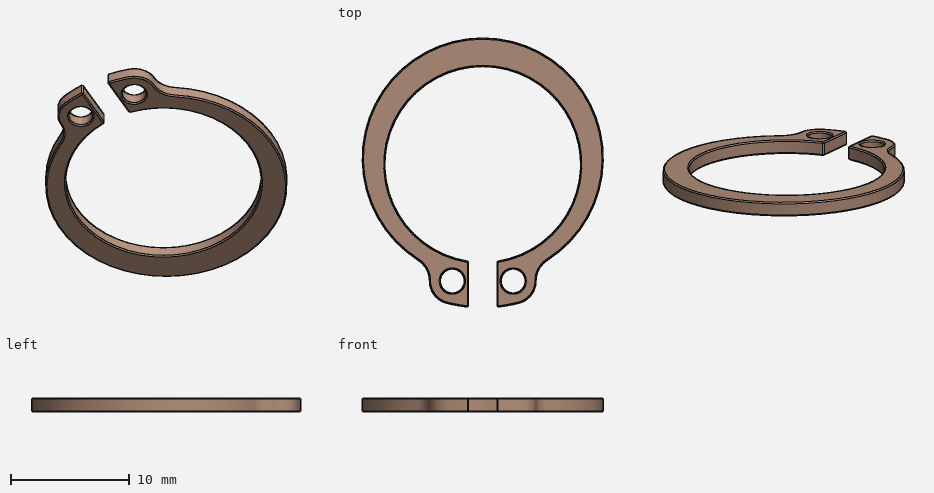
import cadquery as cq
import math

thickness = 1.2
bore_radius = 8.25
outer_radius = 10.17
outer_center_y = 0.5
half_gap = 1.18
lug_depth = 12.03
hole_diameter = 2.0
hole_x = 2.57
hole_y = -9.83
edge_break = 0.11

tip_radius = math.hypot(half_gap + edge_break, lug_depth)
hole_distance = math.hypot(hole_x, hole_y)
corner_radius = tip_radius - hole_distance
lug_side_x = hole_x + corner_radius

center_drop = outer_center_y - hole_y
neck_radius = (lug_side_x**2 + center_drop**2 - outer_radius**2) / (2 * (outer_radius - lug_side_x))
neck_x = lug_side_x + neck_radius


def point_toward(start, target, distance):
    """Return the point at the given distance from start, in the direction of target."""
    dx = target[0] - start[0]
    dy = target[1] - start[1]
    scale = distance / math.hypot(dx, dy)
    return (start[0] + dx * scale, start[1] + dy * scale)


def arc_middle(center, first, last, radius):
    """Return the middle of the shorter arc between two points of a circle."""
    chord_middle = ((first[0] + last[0]) / 2, (first[1] + last[1]) / 2)
    return point_toward(center, chord_middle, radius)


def mirrored(point):
    return (-point[0], point[1])


bore_center = (0, 0)
outer_center = (0, outer_center_y)
hole_center = (hole_x, hole_y)
neck_center = (neck_x, hole_y)

gap_inner = (half_gap, -math.sqrt(bore_radius**2 - half_gap**2))
gap_outer = (half_gap, -math.sqrt(tip_radius**2 - half_gap**2))
tip_end = point_toward(bore_center, hole_center, tip_radius)
lug_side = (lug_side_x, hole_y)
neck_end = point_toward(outer_center, neck_center, outer_radius)

tip_middle = arc_middle(bore_center, gap_outer, tip_end, tip_radius)
corner_middle = arc_middle(hole_center, tip_end, lug_side, corner_radius)
neck_middle = arc_middle(neck_center, lug_side, neck_end, neck_radius)

plate = (
    cq.Workplane("XY")
    .moveTo(*gap_inner)
    .lineTo(*gap_outer)
    .threePointArc(tip_middle, tip_end)
    .threePointArc(corner_middle, lug_side)
    .threePointArc(neck_middle, neck_end)
    .threePointArc((0, outer_center_y + outer_radius), mirrored(neck_end))
    .threePointArc(mirrored(neck_middle), mirrored(lug_side))
    .threePointArc(mirrored(corner_middle), mirrored(tip_end))
    .threePointArc(mirrored(tip_middle), mirrored(gap_outer))
    .lineTo(*mirrored(gap_inner))
    .threePointArc((0, bore_radius), gap_inner)
    .close()
    .extrude(thickness)
)

ring = (
    plate.faces(">Z").workplane(origin=(0, 0, thickness))
    .pushPoints([hole_center, mirrored(hole_center)])
    .hole(hole_diameter)
)

gap_corners = cq.selectors.BoxSelector(
    (-half_gap - edge_break, -lug_depth - edge_break, 0),
    (half_gap + edge_break, 0, thickness),
)
ring = ring.edges("|Z").edges(gap_corners).chamfer(edge_break)
result = ring.faces("|Z").edges().chamfer(edge_break)